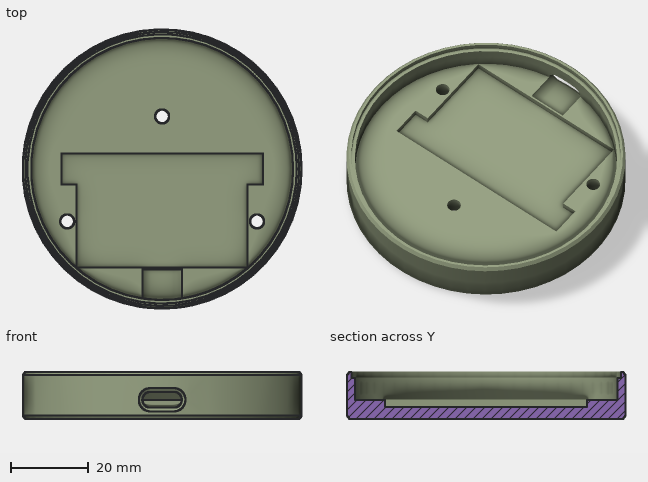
import cadquery as cq

outer_diameter = 72.0
height = 12.2
edge_drop = 0.9
edge_inset = 0.65
cavity_diameter = 67.6
floor_height = 5.0
lip_diameter = 69.5
lip_depth = 1.5

pocket_depth = 1.8
pocket_half_width = 26.0
pocket_half_width_front = 22.0
pocket_back_y = 4.0
pocket_step_y = -pocket_back_y
pocket_front_y = -25.5

hole_diameter = 3.5
hole_side_x = 24.5
hole_offset_y = 13.5

slot_width = 10.15
slot_height = 4.1
slot_chamfer = 0.9
slot_end_y = -25.9


def make_body():
    """Solid disc with a bevel around both outer rims."""
    radius = outer_diameter / 2
    rim_radius = radius - edge_inset
    profile = [
        (0, 0),
        (rim_radius, 0),
        (radius, edge_drop),
        (radius, height - edge_drop),
        (rim_radius, height),
        (0, height),
    ]
    return cq.Workplane("XZ").polyline(profile).close().revolve(360, (0, 0), (0, 1))


def cut_slot(body):
    """Cut the rounded slot and chamfer its mouth on the curved wall."""
    slot_length = outer_diameter / 2 + slot_end_y
    slot = (
        cq.Workplane("XZ", origin=(0, slot_end_y, floor_height))
        .slot2D(slot_width, slot_height)
        .extrude(slot_length)
    )
    half_width = slot_width / 2
    half_height = slot_height / 2
    margin = slot_height / 10
    mouth = cq.selectors.BoxSelector(
        (-half_width - margin, -outer_diameter / 2 - margin, floor_height - half_height - margin),
        (half_width + margin, slot_end_y - slot_length / 2, floor_height + half_height + margin),
        boundingbox=True,
    )
    return body.cut(slot).edges(mouth).edges("not |Y").chamfer(slot_chamfer)


def make_cavity():
    """Main round cavity with a wider recess for a lid at the top."""
    cavity = (
        cq.Workplane("XY", origin=(0, 0, floor_height))
        .circle(cavity_diameter / 2)
        .extrude(height - floor_height)
    )
    lip = (
        cq.Workplane("XY", origin=(0, 0, height - lip_depth))
        .circle(lip_diameter / 2)
        .extrude(lip_depth)
    )
    return cavity.union(lip)


def make_pocket():
    """T-shaped pocket, wide at the back and narrower toward the slot."""
    outline = [
        (-pocket_half_width, pocket_back_y),
        (pocket_half_width, pocket_back_y),
        (pocket_half_width, pocket_step_y),
        (pocket_half_width_front, pocket_step_y),
        (pocket_half_width_front, pocket_front_y),
        (-pocket_half_width_front, pocket_front_y),
        (-pocket_half_width_front, pocket_step_y),
        (-pocket_half_width, pocket_step_y),
    ]
    return (
        cq.Workplane("XY", origin=(0, 0, floor_height - pocket_depth))
        .polyline(outline)
        .close()
        .extrude(pocket_depth)
    )


def make_holes():
    """One hole at the back and one on each side."""
    centers = [
        (0, hole_offset_y),
        (-hole_side_x, -hole_offset_y),
        (hole_side_x, -hole_offset_y),
    ]
    return cq.Workplane("XY").pushPoints(centers).circle(hole_diameter / 2).extrude(floor_height)


result = cut_slot(make_body()).cut(make_cavity()).cut(make_pocket()).cut(make_holes())